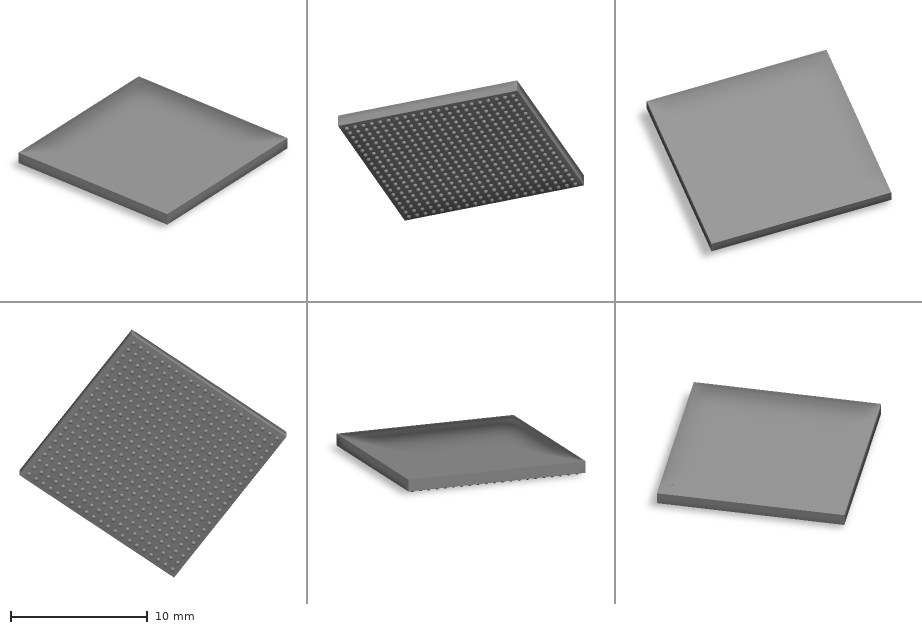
import cadquery as cq
import math

PACKAGE_SIDE = 14
TOTAL_HEIGHT = 1.1
CAP_HEIGHT = 0.53
BALL_DROP = 0.21
SUBSTRATE_HEIGHT = TOTAL_HEIGHT - CAP_HEIGHT - BALL_DROP

BALLS_PER_SIDE = 21
BALL_SPAN = 13.0
BALL_PITCH = BALL_SPAN / (BALLS_PER_SIDE - 1)
BALL_RADIUS = 0.15

MARK_DIAMETER = 0.6
MARK_INSET = 0.97
MARK_DEPTH = 0.007

SUBSTRATE_BOTTOM = BALL_DROP
CAP_BOTTOM = SUBSTRATE_BOTTOM + SUBSTRATE_HEIGHT


def square_plate(bottom, height):
    """Square plate with the package outline, standing on the level `bottom`."""
    return (
        cq.Workplane("XY", origin=(0, 0, bottom))
        .rect(PACKAGE_SIDE, PACKAGE_SIDE)
        .extrude(height)
    )


def make_ball():
    """Sphere cut flat at the underside of the substrate, its lowest point at Z = 0."""
    cut_latitude = math.degrees(math.asin((BALL_DROP - BALL_RADIUS) / BALL_RADIUS))
    return cq.Solid.makeSphere(
        BALL_RADIUS,
        cq.Vector(0, 0, BALL_RADIUS),
        cq.Vector(0, 0, 1),
        angleDegrees1=-90,
        angleDegrees2=cut_latitude,
    )


def make_substrate():
    """Lower plate with the grid of solder balls joined to its underside."""
    ball = make_ball()
    balls = (
        cq.Workplane("XY")
        .rarray(BALL_PITCH, BALL_PITCH, BALLS_PER_SIDE, BALLS_PER_SIDE)
        .eachpoint(ball.moved)
    )
    plate = square_plate(SUBSTRATE_BOTTOM, SUBSTRATE_HEIGHT).val()
    return plate.fuse(*balls.vals(), glue=True).Solids()[0]


def make_cap():
    """Moulded upper plate with the pin 1 mark sunk into its top face."""
    mark_offset = PACKAGE_SIDE / 2 - MARK_INSET
    return (
        square_plate(CAP_BOTTOM, CAP_HEIGHT)
        .faces(">Z")
        .workplane()
        .center(-mark_offset, mark_offset)
        .hole(MARK_DIAMETER, MARK_DEPTH)
    )


substrate = make_substrate()
cap = make_cap()

result = cq.Compound.makeCompound([substrate, cap.val()])